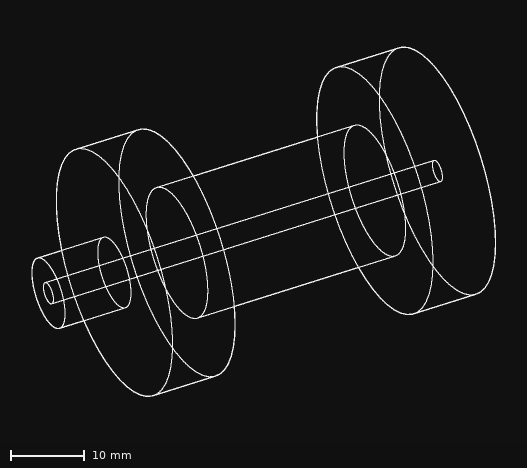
import cadquery as cq

flange_diameter = 35.0
flange_thickness = 9.5
core_diameter = 18.54
core_length = 30.0
shaft_diameter = 10.0
shaft_length = 10.0
bore_diameter = 3.0

front_flange_start = shaft_length
core_start = front_flange_start + flange_thickness
rear_flange_start = core_start + core_length
total_length = rear_flange_start + flange_thickness


def cylinder_along_y(diameter, start, length):
    """Solid cylinder on the Y axis, from start to start + length."""
    plane = cq.Plane(origin=(0, start, 0), xDir=(1, 0, 0), normal=(0, 1, 0))
    return cq.Workplane(plane).circle(diameter / 2).extrude(length)


def flange(start):
    """One of the two identical end discs."""
    return cylinder_along_y(flange_diameter, start, flange_thickness)


shaft = cylinder_along_y(shaft_diameter, 0, shaft_length)
core = cylinder_along_y(core_diameter, core_start, core_length)
bore = cylinder_along_y(bore_diameter, 0, total_length)

spool = shaft.union(flange(front_flange_start)).union(core).union(flange(rear_flange_start))

result = spool.cut(bore)